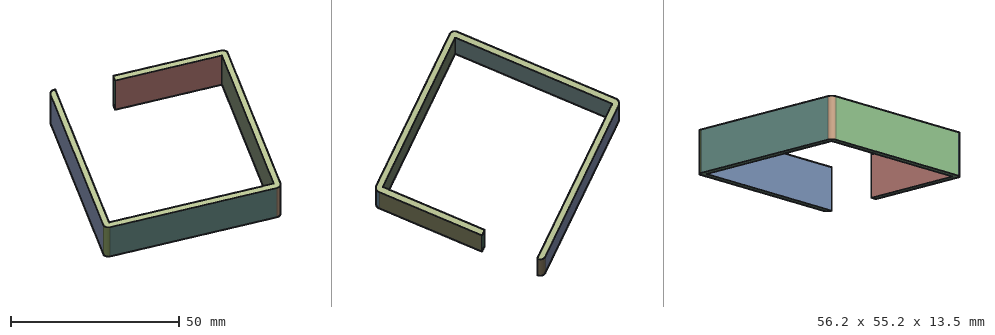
import cadquery as cq

length = 56.2
width = 55.2
height = 13.5

wall = 1.95
corner_radius = 1.65
gap = 18.0


def rounded_frame():
    """Rectangular band with rounded outer corners and sharp inner corners."""
    outer = cq.Workplane("XY").box(length, width, height).edges("|Z").fillet(corner_radius)
    inner = cq.Workplane("XY").box(length - 2 * wall, width - 2 * wall, height)
    return outer.cut(inner)


def wall_opening():
    """Full-height block that removes one end of the -X wall."""
    center_x = -length / 2 + wall / 2
    center_y = -width / 2 + wall + gap / 2
    return cq.Workplane("XY").box(wall, gap, height).translate((center_x, center_y, 0))


result = rounded_frame().cut(wall_opening())